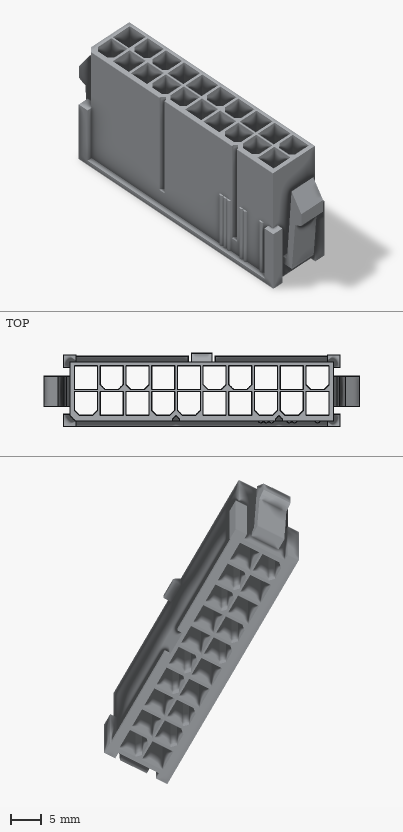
import cadquery as cq

BODY_LENGTH = 43.1
BODY_DEPTH = 9.65
BODY_HEIGHT = 23.9
CORNER_CHAMFER = 0.9
BODY_FRONT = -BODY_DEPTH / 2
BODY_BACK = BODY_DEPTH / 2
BODY_SIDE = BODY_LENGTH / 2

COLUMNS = 10
CELL_BLOCK_LENGTH = 41.55
CELL_WIDTH = 3.7
CELL_PITCH = (CELL_BLOCK_LENGTH - CELL_WIDTH) / (COLUMNS - 1)
CELL_DEPTH = 3.85
CELL_CHAMFER = 0.75
CELL_BLOCK_Y = 0.15
KEYED_FRONT = (0, 3, 4, 7, 8)
KEYED_BACK = (1, 2, 5, 6, 9)

POST_SIZE = 2.05
POST_HEIGHT = 11.85
POST_SIDE = 22.6
POST_FRONT = BODY_FRONT - 0.95
POST_BACK = BODY_BACK + 1.15
RAIL_HEIGHT = 0.95
BACK_RAIL_DEPTH = 0.95
BACK_RAIL_GAP = 4.4

HOOK_WIDTH = 3.35
HOOK_REACH = 1.45
HOOK_HEIGHT = 2.95
HOOK_LIP = 1.1

GROOVE_WALLS = (4, 8)
GROOVE_WIDTH = 1.15
GROOVE_STRAIGHT = 0.3
GROOVE_BOTTOM = 3.85

RIB_WIDTH = 0.8
RIB_PITCH = 0.9
RIB_REACH = 0.3
RIB_FIRST_X = 9.65
RIB_GROUP_PITCH = 4.65
RIB_GROUPS = (3, 2, 1)

CLIP_WIDTH = 5.0
CLIP_REACH = 25.8
CLIP_BOTTOM = 2.95
FOOT_TOP = 4.45
CLIP_TIP = (23.55, 19.75)
BARB_TOP = 16.2
BARB_BOTTOM = 13.65
BARB_STEP = (25.1, 13.25)
ARM_OUTER_TOP = (24.35, 12.95)
ARM_OUTER_BOTTOM = (23.65, 3.25)
ARM_INNER_BOTTOM = (22.5, 4.75)
FOOT_CORNER_X = 22.15


def box(x_min, x_max, y_min, y_max, z_min, z_max):
    size = (x_max - x_min, y_max - y_min, z_max - z_min)
    return cq.Workplane("XY").box(*size, centered=False).translate((x_min, y_min, z_min))


def column_x(column):
    return (column - (COLUMNS - 1) / 2) * CELL_PITCH


def make_body():
    body = box(-BODY_SIDE, BODY_SIDE, BODY_FRONT, BODY_BACK, 0, BODY_HEIGHT)
    return body.edges("|Z and <X and <Y").chamfer(CORNER_CHAMFER)


def make_cavity(column, y, keyed):
    cavity = cq.Workplane("XY").center(column_x(column), y)
    cavity = cavity.rect(CELL_WIDTH, CELL_DEPTH).extrude(BODY_HEIGHT)
    if keyed:
        cavity = cavity.edges("|Z and <Y").chamfer(CELL_CHAMFER)
    return cavity


def make_frame():
    """Four corner posts and the low front and back rails that join them."""
    post_inner = POST_SIDE - POST_SIZE
    frame = box(-POST_SIDE, POST_SIDE, POST_FRONT, BODY_FRONT, 0, RAIL_HEIGHT)
    for x in (-POST_SIDE, post_inner):
        for y in (POST_FRONT, POST_BACK - POST_SIZE):
            frame = frame.union(box(x, x + POST_SIZE, y, y + POST_SIZE, 0, POST_HEIGHT))
    for x_min, x_max in ((-post_inner, -BACK_RAIL_GAP / 2), (BACK_RAIL_GAP / 2, post_inner)):
        frame = frame.union(box(x_min, x_max, BODY_BACK, BODY_BACK + BACK_RAIL_DEPTH, 0, RAIL_HEIGHT))
    return frame


def make_hook():
    bottom = BODY_HEIGHT - HOOK_HEIGHT
    outer = BODY_BACK + HOOK_REACH
    profile = [
        (BODY_BACK, bottom),
        (outer, bottom),
        (outer, bottom + HOOK_LIP),
        (BODY_BACK, BODY_HEIGHT),
    ]
    return cq.Workplane("YZ").polyline(profile).close().extrude(HOOK_WIDTH / 2, both=True)


def make_groove(x):
    half = GROOVE_WIDTH / 2
    shoulder = BODY_FRONT + GROOVE_STRAIGHT
    profile = [
        (x - half, BODY_FRONT),
        (x + half, BODY_FRONT),
        (x + half, shoulder),
        (x, shoulder + half),
        (x - half, shoulder),
    ]
    height = BODY_HEIGHT - GROOVE_BOTTOM
    return cq.Workplane("XY", origin=(0, 0, GROOVE_BOTTOM)).polyline(profile).close().extrude(height)


def make_rib(x):
    return (
        cq.Workplane("XY")
        .moveTo(x - RIB_WIDTH / 2, BODY_FRONT)
        .threePointArc((x, BODY_FRONT - RIB_REACH), (x + RIB_WIDTH / 2, BODY_FRONT))
        .close()
        .extrude(POST_HEIGHT)
    )


def make_clip():
    """Right-hand clip: a foot on the body, a leaning arm and a barb at the top."""
    profile = [
        (BODY_SIDE, CLIP_BOTTOM),
        (ARM_OUTER_BOTTOM[0], CLIP_BOTTOM),
        ARM_OUTER_BOTTOM,
        ARM_OUTER_TOP,
        BARB_STEP,
        (CLIP_REACH, BARB_BOTTOM),
        (CLIP_REACH, BARB_TOP),
        CLIP_TIP,
        ARM_INNER_BOTTOM,
        (FOOT_CORNER_X, FOOT_TOP),
        (BODY_SIDE, FOOT_TOP),
    ]
    return cq.Workplane("XZ").polyline(profile).close().extrude(CLIP_WIDTH / 2, both=True)


result = make_body().union(make_frame()).union(make_hook())

clip = make_clip()
result = result.union(clip).union(clip.mirror("YZ"))

for group, count in enumerate(RIB_GROUPS):
    for index in range(count):
        rib_x = RIB_FIRST_X + group * RIB_GROUP_PITCH + index * RIB_PITCH
        result = result.union(make_rib(rib_x))

for columns_to_left in GROOVE_WALLS:
    result = result.cut(make_groove(column_x(columns_to_left - 0.5)))

front_row_y = CELL_BLOCK_Y - CELL_PITCH / 2
back_row_y = CELL_BLOCK_Y + CELL_PITCH / 2
for column in range(COLUMNS):
    result = result.cut(make_cavity(column, front_row_y, column in KEYED_FRONT))
    result = result.cut(make_cavity(column, back_row_y, column in KEYED_BACK))